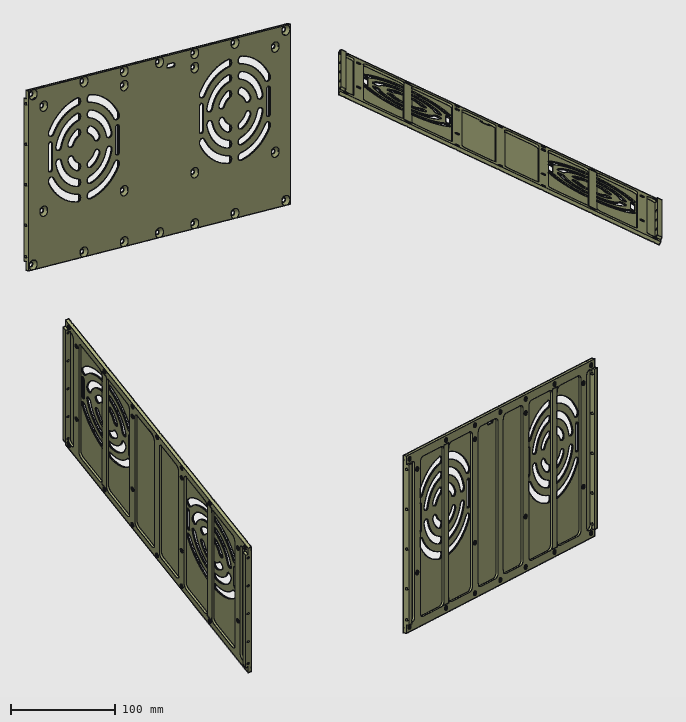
import cadquery as cq
import math

panel_length = 342.0
panel_height = 180.0
overall_depth = 6.5
lip_projection = 2.7
plate_thickness = overall_depth - lip_projection

lip_width = 5.0
lip_height = 162.8
lip_hole_diameter = 2.5
lip_hole_x = 2.7
lip_end_hole_z = 76.3
lip_hole_pitch = 40.5
pitched_lip_holes = 4
lip_hole_heights = [lip_end_hole_z - i * lip_hole_pitch for i in range(pitched_lip_holes)]
lip_hole_heights.append(-lip_end_hole_z)

pocket_depth = 2.5
pocket_height = 162.5
pocket_corner_radius = 5.0
edge_pocket_corner_radius = 4.0
centre_rib_width = 9.2
rib_width = 10.3
centre_pocket_width = 36.3
fan_pocket_width = 43.0
fan_rib_width = 8.5
fan_rib_recess = 0.5

centre_pocket_start = centre_rib_width / 2
fan_pocket_start = centre_pocket_start + centre_pocket_width + rib_width
fan_y = fan_pocket_start + fan_pocket_width + fan_rib_width / 2
second_fan_pocket_start = fan_y + fan_rib_width / 2
edge_pocket_start = second_fan_pocket_start + fan_pocket_width + rib_width
edge_pocket_width = panel_length / 2 - lip_width - edge_pocket_start
pockets = [
    (centre_pocket_start, centre_pocket_width, pocket_corner_radius),
    (fan_pocket_start, fan_pocket_width, pocket_corner_radius),
    (second_fan_pocket_start, fan_pocket_width, pocket_corner_radius),
    (edge_pocket_start, edge_pocket_width, edge_pocket_corner_radius),
]

fan_z = 18.5
grille_slot_width = 7.5
cap_offset = fan_rib_width / 2 + grille_slot_width / 2
inner_ring_radius = 18.8
middle_ring_radius = 34.0
outer_ring_radius = 49.0
outer_ring_low_angle = 29.5
side_slot_offset = 43.8
side_slot_length = 30.0
side_slot_width = 4.8

screw_diameter = 4.5
fan_screw_pitch = 105.0
edge_screw_inset = 4.8
corner_screw_y = 165.0
countersink_diameter = 10.3

cable_slot_length = 10.3
cable_slot_width = 4.0
cable_slot_y = 15.0
cable_slot_z = pocket_height / 2 - cable_slot_width / 2


def box(x_start, x_size, y_start, y_size, height):
    """Block centred in Z, placed by its low X and low Y faces."""
    block = cq.Workplane("XY").box(x_size, y_size, height, centered=(False, False, True))
    return block.translate((x_start, y_start, 0))


def plate_plane():
    """Sketch plane at X = 0 facing +X: local axes are Y and Z."""
    return cq.Workplane("YZ")


def both_sides(distances):
    """Mirrored Y positions for distances from the panel's centre."""
    return [side * distance for distance in distances for side in (-1, 1)]


def make_body():
    body = box(lip_projection, plate_thickness, -panel_length / 2, panel_length, panel_height)
    for y_start in (-panel_length / 2, panel_length / 2 - lip_width):
        body = body.union(box(0, overall_depth, y_start, lip_width, lip_height))
    return body


def cut_pockets(body):
    for start, width, corner_radius in pockets:
        pocket = box(lip_projection, pocket_depth, start, width, pocket_height)
        pocket = pocket.edges("|X").fillet(corner_radius)
        body = body.cut(pocket).cut(pocket.mirror("XZ"))
    return body


def lower_fan_ribs(body):
    """Set the rib across each fan slightly below the -X face."""
    for y in both_sides([fan_y]):
        rib_start = y - fan_rib_width / 2
        body = body.cut(box(lip_projection, fan_rib_recess, rib_start, fan_rib_width, pocket_height))
    return body


def arc_slot(radius, low_angle, high_angle):
    """Round-ended curved slot about the X axis, in the +Y +Z quadrant."""

    def at(ring_radius, angle):
        return (ring_radius * math.cos(angle), ring_radius * math.sin(angle))

    half_width = grille_slot_width / 2
    inner = radius - half_width
    outer = radius + half_width
    middle_angle = (low_angle + high_angle) / 2
    low_cap = at(radius, low_angle)
    low_tip = (
        low_cap[0] + half_width * math.sin(low_angle),
        low_cap[1] - half_width * math.cos(low_angle),
    )
    high_cap = at(radius, high_angle)
    high_tip = (
        high_cap[0] - half_width * math.sin(high_angle),
        high_cap[1] + half_width * math.cos(high_angle),
    )
    return (
        plate_plane()
        .moveTo(*at(outer, low_angle))
        .threePointArc(at(outer, middle_angle), at(outer, high_angle))
        .threePointArc(high_tip, at(inner, high_angle))
        .threePointArc(at(inner, middle_angle), at(inner, low_angle))
        .threePointArc(low_tip, at(outer, low_angle))
        .close()
        .extrude(overall_depth)
    )


def make_grille():
    """Cutter for one fan grille, centred on the X axis."""
    rings = [
        (inner_ring_radius, math.asin(cap_offset / inner_ring_radius)),
        (middle_ring_radius, math.asin(cap_offset / middle_ring_radius)),
        (outer_ring_radius, math.radians(outer_ring_low_angle)),
    ]
    grille = (
        plate_plane()
        .pushPoints([(-side_slot_offset, 0), (side_slot_offset, 0)])
        .slot2D(side_slot_length, side_slot_width, 90)
        .extrude(overall_depth)
    )
    for radius, low_angle in rings:
        upper = arc_slot(radius, low_angle, math.acos(cap_offset / radius))
        pair = upper.union(upper.mirror("XZ"))
        grille = grille.union(pair).union(pair.mirror("XY"))
    return grille


def cut_grilles(body):
    grille = make_grille()
    for y in both_sides([fan_y]):
        body = body.cut(grille.translate((0, y, fan_z)))
    return body


def drill_plate(body):
    """Screw holes through the plate, countersunk at 90 degrees from the +X face."""
    half_pitch = fan_screw_pitch / 2
    edge_z = panel_height / 2 - edge_screw_inset
    edge_rows = [0] + both_sides([fan_y - half_pitch, fan_y, corner_screw_y])
    edge_points = [(y, z) for y in edge_rows for z in (-edge_z, edge_z)]
    fan_points = [
        (y, fan_z + dz)
        for y in both_sides([fan_y - half_pitch, fan_y + half_pitch])
        for dz in (-half_pitch, half_pitch)
    ]
    points = edge_points + fan_points
    holes = plate_plane().pushPoints(points).circle(screw_diameter / 2).extrude(overall_depth)
    sink_depth = (countersink_diameter - screw_diameter) / 2
    for y, z in points:
        cone = cq.Solid.makeCone(
            countersink_diameter / 2,
            screw_diameter / 2,
            sink_depth,
            pnt=cq.Vector(overall_depth, y, z),
            dir=cq.Vector(-1, 0, 0),
        )
        body = body.cut(cq.Workplane(cone))
    return body.cut(holes)


def drill_lips(body):
    """Cross holes along Y through both lips only."""
    points = [(lip_hole_x, z) for z in lip_hole_heights]
    for y_outer, direction in ((-panel_length / 2, -1), (panel_length / 2, 1)):
        holes = (
            cq.Workplane("XZ", origin=(0, y_outer, 0))
            .pushPoints(points)
            .circle(lip_hole_diameter / 2)
            .extrude(direction * lip_width)
        )
        body = body.cut(holes)
    return body


def cut_cable_slot(body):
    slot = (
        plate_plane()
        .center(cable_slot_y, cable_slot_z)
        .slot2D(cable_slot_length, cable_slot_width)
        .extrude(overall_depth)
    )
    return body.cut(slot)


result = make_body()
result = cut_pockets(result)
result = lower_fan_ribs(result)
result = cut_grilles(result)
result = drill_plate(result)
result = drill_lips(result)
result = cut_cable_slot(result)